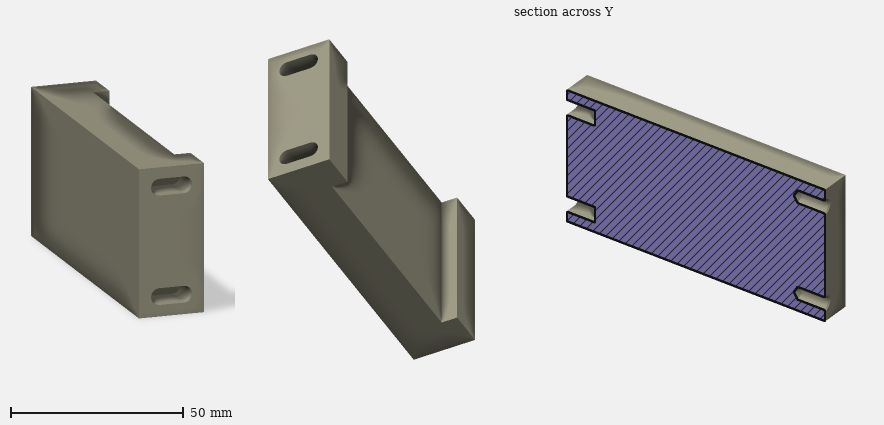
import cadquery as cq
import math

LENGTH = 93.0
DEPTH = 20.0
HEIGHT = 45.0

RECESS_LENGTH = 70.0
RECESS_DEPTH = 5.0

EDGE_DISTANCE = 6.0
OPENING_DEPTH = 10.0
MOUTH_DIAMETER = 5.06
OPENING_HEIGHTS = (-(HEIGHT / 2 - EDGE_DISTANCE), HEIGHT / 2 - EDGE_DISTANCE)

BORE_DIAMETER = 4.2
DRILL_POINT_ANGLE = 118.0

SLOT_CENTRE_SPACING = 7.5
SLOT_LENGTH = SLOT_CENTRE_SPACING + MOUTH_DIAMETER


def block():
    """Rectangular block with the full-height recess cut into its +Y face."""
    recess = (
        cq.Workplane("XY")
        .box(RECESS_LENGTH, RECESS_DEPTH, HEIGHT)
        .translate((0, (DEPTH - RECESS_DEPTH) / 2, 0))
    )
    return cq.Workplane("XY").box(LENGTH, DEPTH, HEIGHT).cut(recess)


def drilled_hole(z):
    """Cutter for a blind hole in the -X end: 45 degree mouth, bore and conical bottom."""
    bore_radius = BORE_DIAMETER / 2
    mouth_radius = MOUTH_DIAMETER / 2
    chamfer = mouth_radius - bore_radius
    tip_depth = OPENING_DEPTH + bore_radius / math.tan(math.radians(DRILL_POINT_ANGLE / 2))
    half_section = [
        (0, 0),
        (0, mouth_radius),
        (chamfer, bore_radius),
        (OPENING_DEPTH, bore_radius),
        (tip_depth, 0),
    ]
    return (
        cq.Workplane("XY")
        .polyline(half_section)
        .close()
        .revolve(360, (0, 0, 0), (1, 0, 0))
        .translate((-LENGTH / 2, 0, z))
    )


def end_slot(z):
    """Cutter for a blind slot in the +X end, lying along Y."""
    return (
        cq.Workplane("YZ", origin=(LENGTH / 2, 0, z))
        .slot2D(SLOT_LENGTH, MOUTH_DIAMETER)
        .extrude(-OPENING_DEPTH)
    )


result = block()
for opening_z in OPENING_HEIGHTS:
    result = result.cut(drilled_hole(opening_z))
    result = result.cut(end_slot(opening_z))